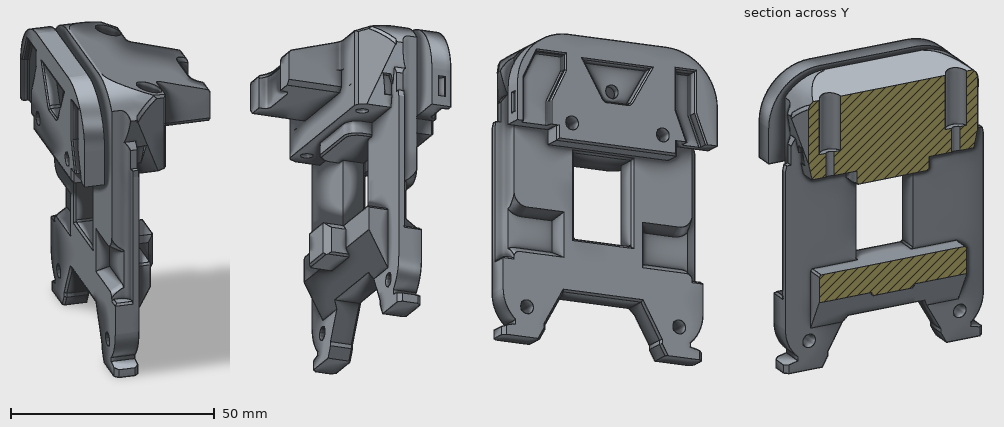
import cadquery as cq
import math

WIDTH = 55.0
HEIGHT = 76.0
HALF = WIDTH / 2
TOP_RADIUS = 14.0
SHOULDER_Z = HEIGHT - TOP_RADIUS
TOP_FLAT = HALF - TOP_RADIUS
SCREW_HOLE_D = 3.5
BIG = 45.6

PLATE_T = 6.1
LOWER_ARC_Z = 11.7
NECK_X, NECK_TOP_Z, NECK_BOTTOM_Z = 24.0, 4.0, 3.0
FOOT_Z = 2.1
FOOT_CHAMFER = 1.0
FOOT_INNER_X = 17.25
KNEE_X, KNEE_TOP_Z, KNEE_BOTTOM_Z = 15.75, 3.8, 2.7
NOTCH_X, NOTCH_Z = 10.65, 12.85
EDGE_BREAK = 0.5
LEG_HOLE_X, LEG_HOLE_Z = 20.9, 7.7
WINDOW_X, WINDOW_BOTTOM, WINDOW_TOP = 7.9, 26.6, 48.6
WINDOW_CORNER = 0.45

CHANNEL_X, CHANNEL_DEPTH, CHANNEL_BOTTOM = 24.5, 4.55, 19.9
CHANNEL_WALL = 2.05
LIP_TOP_Z = 53.6
LIP_LEDGE_X, LIP_LEDGE_Z = 27.15, 55.2
LIP_WALL_X, LIP_WALL_Z = 25.9, 60.2
TAPER_TOP_X, TAPER_TOP_Z = 26.1, 68.2
TAPER_LOW_X = 24.7

RECESS_X, RECESS_LOW, RECESS_HIGH = 10.8, 21.5, 33.1
RECESS_DEPTH, RECESS_INSET = 3.05, 1.75
RECESS_HIGH_RADIUS, RECESS_LOW_RADIUS = 3.6, 1.5

HEAD_BACK = 28.9
HEAD_HALF = 12.2
HEAD_BOTTOM = 58.6
HEAD_BOTTOM_CHAMFER = 1.15
HEAD_BACK_RADIUS = 1.15
ROOF_START = 0.7
ROOF_DROP = 8.75
SHOULDER_BOTTOM = 52.15
SHOULDER_BACK = 14.9
SHOULDER_X = 20.5
SHOULDER_BEVEL = 0.6
CORNER_X, CORNER_Y = 21.5, 14.3
FLANK_X, FLANK_Y = 25.9, 6.3
WEB_RADIUS, WEB_BOTTOM = 1.15, 64.0
BACK_NOTCH_X, BACK_NOTCH_DEPTH, BACK_NOTCH_RADIUS = 6.7, 2.5, 1.7
BACK_NOTCH_CHAMFER, RIM_DEPTH = 0.8, 0.9
SCREW_X, SCREW_Y = 17.5, 11.6
SCREW_D, COUNTERBORE_D = 3.1, 6.2
SCOOP_TOP_Y, SCOOP_LOW_Y, SCOOP_X = 8.9, 7.9, 22.95
SCOOP_EDGE_Y, SCOOP_EDGE_Z = 6.85, 58.1

BOSS_X, BOSS_BACK, BOSS_RADIUS, BOSS_CHAMFER = 10.65, 12.25, 3.65, 0.45

BRACKET_X, BRACKET_BACK = 20.5, 11.1
BRACKET_KNEE, BRACKET_BOTTOM = 20.2, 10.95
BRACKET_TOP = WINDOW_BOTTOM
BLOCK_X, BLOCK_BACK = 5.9, 16.5
BLOCK_BOTTOM = 18.25
BLOCK_CHAMFER, BLOCK_TOP_CHAMFER, BLOCK_LOW_CHAMFER = 1.5, 1.45, 0.5

COVER_FRONT, COVER_BACK = -7.8, -2.7
COVER_T = COVER_BACK - COVER_FRONT
WING_Z, TAB_Z, TAB_X = 52.6, 48.8, 16.5
COVER_HOLE_X, COVER_HOLE_Z, COVER_TOP_HOLE_Z = 12.5, 53.6, 63.8
TOP_HOLE_D = 3.4
TRAP_TOP_X, TRAP_TOP_Z = 9.9, 70.55
TRAP_CORNER_X, TRAP_CORNER_Z = 4.1, 60.6
TRAP_LOW_X, TRAP_LOW_Z = 3.3, 59.9
TRAP_DEPTH = 3.05
LEFT_POCKET_DEPTH, RIGHT_POCKET_DEPTH = 1.7, 3.1
POCKET_BEVEL = 0.4
POCKET_TOP_Z = 71.25
OVERRUN = 2.3
POCKET_OVERRUN_Z = WING_Z - OVERRUN
LEFT_OUTER_X, LEFT_OUTER_BEND_Z = -26.0, 63.7
LEFT_TOP_X, LEFT_INNER_X, LEFT_BEND_Z = -22.3, -14.0, 66.8
LEFT_LOW_X, LEFT_LOW_BEND_Z = -18.0, 58.6
RIGHT_INNER_X, RIGHT_POCKET_W, RIGHT_BEND_Z = 15.8, 5.9, 60.4
RIGHT_LEAN = 0.39
SLOT_FRONT, SLOT_W, SLOT_LOW, SLOT_HIGH, SLOT_END_X = 1.45, 1.8, 55.1, 60.3, 25.0


def front_plane(y):
    """Sketch plane facing -Y at depth y, with local x along X and local y along Z."""
    return cq.Workplane(cq.Plane(origin=(0, y, 0), xDir=(1, 0, 0), normal=(0, -1, 0)))


def prism_y(points, y0, y1):
    """Straight prism from an X-Z polygon between two depths."""
    return front_plane(y0).polyline(points).close().extrude(y0 - y1)


def box(x0, x1, y0, y1, z0, z1):
    return cq.Workplane("XY").box(x1 - x0, y1 - y0, z1 - z0, centered=False).translate((x0, y0, z0))


def hole_y(x, z, diameter, y0, y1):
    return front_plane(y0).center(x, z).circle(diameter / 2).extrude(y0 - y1)


def both_sides(shape):
    """The shape (drawn on +X) together with its mirror image."""
    return shape.union(shape.mirror("YZ"))


def rounded_top(sketch):
    """Continue a sketch from the right corner start over the rounded top to the left one."""
    reach = TOP_RADIUS * math.sqrt(0.5)
    return (
        sketch.threePointArc((TOP_FLAT + reach, SHOULDER_Z + reach), (TOP_FLAT, HEIGHT))
        .lineTo(-TOP_FLAT, HEIGHT)
        .threePointArc((-TOP_FLAT - reach, SHOULDER_Z + reach), (-HALF, SHOULDER_Z))
    )


def plate():
    run, rise = HALF - NECK_X, LOWER_ARC_Z - NECK_TOP_Z
    radius = (run**2 + rise**2) / (2 * run)
    half_sweep = math.asin(rise / radius) / 2
    mid_x = HALF - radius * (1 - math.cos(half_sweep))
    mid_z = LOWER_ARC_Z - radius * math.sin(half_sweep)
    right_leg = [
        (KNEE_X, KNEE_TOP_Z), (KNEE_X, KNEE_BOTTOM_Z), (FOOT_INNER_X, 0),
        (HALF, 0), (HALF, FOOT_Z), (NECK_X, NECK_BOTTOM_Z), (NECK_X, NECK_TOP_Z),
    ]
    sketch = front_plane(0).moveTo(-NOTCH_X, NOTCH_Z).lineTo(NOTCH_X, NOTCH_Z)
    for point in right_leg:
        sketch = sketch.lineTo(*point)
    sketch = sketch.threePointArc((mid_x, mid_z), (HALF, LOWER_ARC_Z)).lineTo(HALF, SHOULDER_Z)
    sketch = rounded_top(sketch).lineTo(-HALF, LOWER_ARC_Z)
    sketch = sketch.threePointArc((-mid_x, mid_z), (-NECK_X, NECK_TOP_Z))
    for x, z in reversed(right_leg[:-1]):
        sketch = sketch.lineTo(-x, z)
    body = sketch.close().extrude(-PLATE_T)
    foot_ends = cq.selectors.BoxSelector((-BIG, -0.75, -0.75), (BIG, PLATE_T + 0.75, FOOT_Z + 0.1))
    return body.edges("|Z").edges(foot_ends).chamfer(FOOT_CHAMFER)


def leg_opening():
    """Space between the legs, used to trim the bracket and to bevel the front edge."""
    return [
        (NOTCH_X, NOTCH_Z), (KNEE_X, KNEE_TOP_Z), (KNEE_X, KNEE_BOTTOM_Z), (FOOT_INNER_X, 0),
        (FOOT_INNER_X, -FOOT_Z), (-FOOT_INNER_X, -FOOT_Z), (-FOOT_INNER_X, 0),
        (-KNEE_X, KNEE_BOTTOM_Z), (-KNEE_X, KNEE_TOP_Z), (-NOTCH_X, NOTCH_Z),
    ]


def leg_bevel():
    outline = front_plane(0).polyline(leg_opening()).close().offset2D(EDGE_BREAK, "intersection")
    return tapered_cut(outline, EDGE_BREAK, EDGE_BREAK)


def tapered_cut(sketch, depth, inset):
    """Cutter that narrows by inset while going depth into +Y."""
    return sketch.extrude(-depth, taper=math.degrees(math.atan2(inset, depth)))


def window():
    opening = box(-WINDOW_X, WINDOW_X, -0.75, PLATE_T, WINDOW_BOTTOM, WINDOW_TOP)
    opening = opening.edges("|Y and <Z").chamfer(WINDOW_CORNER)
    outer_x = WINDOW_X + EDGE_BREAK
    outline = front_plane(0).moveTo(-outer_x, WINDOW_BOTTOM - EDGE_BREAK)
    outline = outline.lineTo(outer_x, WINDOW_BOTTOM - EDGE_BREAK).lineTo(outer_x, WINDOW_TOP + EDGE_BREAK)
    outline = outline.lineTo(-outer_x, WINDOW_TOP + EDGE_BREAK).close()
    return opening.union(tapered_cut(outline, EDGE_BREAK, EDGE_BREAK))


def side_channel():
    """Groove along the plate's flank with a rounded inner corner and a bevelled lower end."""
    channel = (
        cq.Workplane("XY", origin=(0, 0, CHANNEL_BOTTOM))
        .moveTo(CHANNEL_X, -0.75)
        .lineTo(CHANNEL_X, CHANNEL_WALL)
        .tangentArcPoint((HALF, CHANNEL_DEPTH), relative=False)
        .lineTo(BIG, CHANNEL_DEPTH)
        .lineTo(BIG, -0.75)
        .close()
        .extrude(HEIGHT - CHANNEL_BOTTOM)
    )
    front_bevel = (
        cq.Workplane("YZ", origin=(CHANNEL_X, 0, 0))
        .polyline([(0, CHANNEL_BOTTOM), (0, CHANNEL_BOTTOM - EDGE_BREAK), (EDGE_BREAK, CHANNEL_BOTTOM)])
        .close()
        .extrude(BIG - CHANNEL_X)
    )
    side_bevel = prism_y(
        [
            (HALF - EDGE_BREAK, CHANNEL_BOTTOM), (HALF, CHANNEL_BOTTOM - EDGE_BREAK),
            (BIG, CHANNEL_BOTTOM - EDGE_BREAK), (BIG, CHANNEL_BOTTOM),
        ],
        -0.75, CHANNEL_DEPTH,
    )
    return channel.union(front_bevel).union(side_bevel)


def flank_relief():
    """Material missing from the plate's flank above the channel lip."""
    points = [
        (TAPER_TOP_X, TAPER_TOP_Z), (TAPER_LOW_X, SHOULDER_Z), (LIP_WALL_X, LIP_WALL_Z),
        (LIP_WALL_X, LIP_LEDGE_Z), (LIP_LEDGE_X, LIP_LEDGE_Z), (HALF, LIP_TOP_Z),
        (BIG, LIP_TOP_Z), (BIG, TAPER_TOP_Z),
    ]
    return prism_y(points, -0.75, PLATE_T)


def front_recess():
    bend = math.sqrt(0.5)
    high, low = RECESS_HIGH_RADIUS, RECESS_LOW_RADIUS
    outline = (
        front_plane(0)
        .moveTo(RECESS_X, RECESS_LOW)
        .lineTo(CHANNEL_X - low, RECESS_LOW)
        .threePointArc(
            (CHANNEL_X - low + low * bend, RECESS_LOW - low + low * bend),
            (CHANNEL_X, RECESS_LOW - low),
        )
        .lineTo(BIG, RECESS_LOW - low)
        .lineTo(BIG, RECESS_HIGH + high)
        .lineTo(CHANNEL_X, RECESS_HIGH + high)
        .threePointArc(
            (CHANNEL_X - high + high * bend, RECESS_HIGH + high - high * bend),
            (CHANNEL_X - high, RECESS_HIGH),
        )
        .lineTo(RECESS_X, RECESS_HIGH)
        .close()
    )
    return tapered_cut(outline, RECESS_DEPTH, RECESS_INSET)


def head():
    slope = (TAPER_TOP_X - TAPER_LOW_X) / (TAPER_TOP_Z - SHOULDER_Z)
    low_x = TAPER_LOW_X - slope * (SHOULDER_Z - SHOULDER_BOTTOM)
    front = rounded_top(front_plane(0).moveTo(HALF, SHOULDER_BOTTOM).lineTo(HALF, SHOULDER_Z))
    front = front.lineTo(-HALF, SHOULDER_BOTTOM).close().extrude(-HEAD_BACK)
    lean = prism_y(
        [(low_x, SHOULDER_BOTTOM), (TAPER_TOP_X, TAPER_TOP_Z), (BIG, TAPER_TOP_Z), (BIG, SHOULDER_BOTTOM)],
        -0.75, HEAD_BACK,
    )
    plan_right = [
        (FLANK_X, PLATE_T), (FLANK_X, FLANK_Y), (CORNER_X, CORNER_Y), (SHOULDER_X, SHOULDER_BACK),
    ]
    plan_left = [(-x, y) for x, y in reversed(plan_right)]
    shoulders = cq.Workplane("XY").polyline(plan_right + plan_left).close().extrude(HEIGHT)
    back = box(-HEAD_HALF, HEAD_HALF, PLATE_T, HEAD_BACK, HEAD_BOTTOM, HEIGHT)
    back = back.edges("|Y and <Z").chamfer(HEAD_BOTTOM_CHAMFER)
    web_x, web_y = HEAD_HALF + WEB_RADIUS, SHOULDER_BACK + WEB_RADIUS
    web = box(HEAD_HALF, web_x, SHOULDER_BACK, web_y, WEB_BOTTOM, HEIGHT)
    web = web.cut(
        cq.Workplane("XY", origin=(web_x, web_y, 0))
        .circle(WEB_RADIUS)
        .extrude(HEIGHT)
    )
    solid = shoulders.union(back).union(both_sides(web))
    solid = solid.intersect(front).cut(both_sides(lean))
    solid = solid.cut(roof_cutter())
    solid = bevel_shoulder_tops(solid)
    solid = solid.edges("|X").edges(">Y").edges(">Z").fillet(HEAD_BACK_RADIUS)
    return solid.cut(back_notch())


def bevel_shoulder_tops(solid):
    """Bevel the slanted shoulder sides where they meet the rounded corner and the roof."""
    region = cq.selectors.BoxSelector((-BIG, FLANK_Y - 0.75, TAPER_TOP_Z), (BIG, SHOULDER_BACK, HEIGHT))
    run_x, run_y = FLANK_X - CORNER_X, CORNER_Y - FLANK_Y
    for side in (1, -1):
        slant = solid.faces(cq.selectors.ParallelDirSelector(cq.Vector(side * run_y, run_x, 0), 0.01))
        solid = slant.edges(region).chamfer(SHOULDER_BEVEL)
    return solid


def roof_height(y):
    return HEIGHT - ROOF_DROP * (y - ROOF_START) / (HEAD_BACK - ROOF_START)


def roof_cutter():
    points = [(ROOF_START, HEIGHT), (BIG, roof_height(BIG)), (BIG, HEIGHT)]
    return cq.Workplane("YZ", origin=(-BIG, 0, 0)).polyline(points).close().extrude(2 * BIG)


def back_notch():
    """Notch in the rear edge of the head, bevelled along the roof."""
    floor_y = HEAD_BACK - BACK_NOTCH_DEPTH
    notch = box(-BACK_NOTCH_X, BACK_NOTCH_X, floor_y, BIG, HEAD_BOTTOM - 0.75, HEIGHT)
    notch = notch.edges("|Z and <Y").fillet(BACK_NOTCH_RADIUS)
    roof_angle = math.degrees(math.atan2(ROOF_DROP, HEAD_BACK - ROOF_START))
    reach = BACK_NOTCH_DEPTH + 2 * BACK_NOTCH_CHAMFER
    rim_x, rim_y = BACK_NOTCH_X + BACK_NOTCH_CHAMFER, -BACK_NOTCH_CHAMFER
    rim = box(-rim_x, rim_x, rim_y, reach, -RIM_DEPTH, 0)
    rim = rim.edges("|Z and <Y").fillet(BACK_NOTCH_RADIUS + BACK_NOTCH_CHAMFER)
    rim = rim.faces("<Z").edges().chamfer(BACK_NOTCH_CHAMFER)
    rim = rim.rotate((0, 0, 0), (1, 0, 0), -roof_angle).translate((0, floor_y, roof_height(floor_y)))
    return notch.union(rim)


def head_screw():
    shaft = cq.Workplane("XY", origin=(SCREW_X, SCREW_Y, SHOULDER_BOTTOM - 0.75))
    shaft = shaft.circle(SCREW_D / 2).extrude(HEIGHT - SHOULDER_BOTTOM)
    bore = cq.Workplane("XY", origin=(SCREW_X, SCREW_Y, HEAD_BOTTOM))
    return shaft.union(bore.circle(COUNTERBORE_D / 2).extrude(HEIGHT - HEAD_BOTTOM))


def side_scoop():
    points = [
        (PLATE_T, LIP_LEDGE_Z), (SCOOP_LOW_Y, LIP_LEDGE_Z), (SCOOP_TOP_Y, LIP_WALL_Z),
        (SCOOP_EDGE_Y, LIP_WALL_Z), (PLATE_T, SCOOP_EDGE_Z),
    ]
    return cq.Workplane("YZ", origin=(SCOOP_X, 0, 0)).polyline(points).close().extrude(BIG - SCOOP_X)


def boss():
    block = box(-BOSS_X, BOSS_X, 0, BOSS_BACK, WINDOW_TOP, SHOULDER_BOTTOM)
    block = block.edges("|Z and >Y").fillet(BOSS_RADIUS).faces("<Z").chamfer(BOSS_CHAMFER)
    return block.intersect(box(-BOSS_X, BOSS_X, PLATE_T, BOSS_BACK, WINDOW_TOP, SHOULDER_BOTTOM))


def bracket():
    profile = [
        (PLATE_T, BRACKET_BOTTOM), (BRACKET_BACK, BRACKET_KNEE),
        (BRACKET_BACK, BRACKET_TOP), (PLATE_T, BRACKET_TOP),
    ]
    gusset = cq.Workplane("YZ", origin=(-BRACKET_X, 0, 0)).polyline(profile).close().extrude(2 * BRACKET_X)
    gusset = gusset.edges("|Y and >Z").chamfer(EDGE_BREAK)
    gusset = gusset.cut(prism_y(leg_opening(), -0.75, BIG))
    block = box(-BLOCK_X, BLOCK_X, PLATE_T, BLOCK_BACK, BLOCK_BOTTOM, BRACKET_TOP)
    block = block.edges("|Z and >Y").chamfer(BLOCK_CHAMFER)
    block = block.edges("|Y and >Z").chamfer(BLOCK_TOP_CHAMFER)
    block = block.faces("<Z").edges(">Y or <X or >X").chamfer(BLOCK_LOW_CHAMFER)
    return gusset.union(block)


def make_housing():
    body = plate().cut(both_sides(flank_relief()))
    body = body.cut(roof_cutter()).union(head()).union(boss()).union(bracket())
    body = body.cut(both_sides(side_channel())).cut(both_sides(front_recess()))
    body = body.cut(window()).cut(leg_bevel())
    body = body.cut(both_sides(hole_y(LEG_HOLE_X, LEG_HOLE_Z, SCREW_HOLE_D, -0.75, BIG)))
    return body.cut(both_sides(head_screw())).cut(both_sides(side_scoop()))


def cover_blank():
    right = [(TAB_X, TAB_Z), (TAB_X, WING_Z), (HALF, WING_Z), (HALF, SHOULDER_Z)]
    sketch = front_plane(COVER_FRONT).moveTo(-TAB_X, TAB_Z)
    for point in right:
        sketch = sketch.lineTo(*point)
    sketch = rounded_top(sketch).lineTo(-HALF, WING_Z).lineTo(-TAB_X, WING_Z).close()
    blank = sketch.extrude(-COVER_T)
    tab = cq.selectors.BoxSelector(
        (-TAB_X - 0.1, COVER_FRONT - 0.75, TAB_Z - 0.75), (TAB_X + 0.1, COVER_FRONT + 0.1, WING_Z - 0.1)
    )
    return blank.edges(tab).chamfer(EDGE_BREAK)


def bevelled_pocket(points, depth):
    """Pocket with straight walls and a bevelled rim."""
    rim = front_plane(COVER_FRONT).polyline(points).close()
    rim = tapered_cut(rim, POCKET_BEVEL, POCKET_BEVEL)
    wall = front_plane(COVER_FRONT).polyline(points).close().offset2D(-POCKET_BEVEL, "intersection")
    return rim.union(wall.extrude(-depth))


def double_bevelled_pocket(points, depth):
    """Pocket with bevels around its rim and its floor."""
    wall = bevelled_pocket(points, depth - POCKET_BEVEL)
    floor = front_plane(COVER_FRONT + depth - POCKET_BEVEL).polyline(points).close()
    floor = floor.offset2D(-POCKET_BEVEL, "intersection")
    return wall.union(tapered_cut(floor, POCKET_BEVEL, POCKET_BEVEL))


def left_pocket():
    """Pocket open at the wing edge, stepping outward on its way down."""
    return double_bevelled_pocket([
        (LEFT_OUTER_X, POCKET_OVERRUN_Z), (LEFT_OUTER_X, LEFT_OUTER_BEND_Z),
        (LEFT_TOP_X, POCKET_TOP_Z), (LEFT_INNER_X, POCKET_TOP_Z),
        (LEFT_INNER_X, LEFT_BEND_Z), (LEFT_LOW_X, LEFT_LOW_BEND_Z), (LEFT_LOW_X, POCKET_OVERRUN_Z),
    ], LEFT_POCKET_DEPTH)


def right_pocket():
    """Parallel-sided pocket that leans outward below its bend."""
    outer_x = RIGHT_INNER_X + RIGHT_POCKET_W
    shift = RIGHT_LEAN * (RIGHT_BEND_Z - POCKET_OVERRUN_Z)
    return double_bevelled_pocket([
        (RIGHT_INNER_X, POCKET_TOP_Z), (outer_x, POCKET_TOP_Z), (outer_x, RIGHT_BEND_Z),
        (outer_x + shift, POCKET_OVERRUN_Z), (RIGHT_INNER_X + shift, POCKET_OVERRUN_Z),
        (RIGHT_INNER_X, RIGHT_BEND_Z),
    ], RIGHT_POCKET_DEPTH)


def trapezoid_pocket():
    right = [(TRAP_LOW_X, TRAP_LOW_Z), (TRAP_CORNER_X, TRAP_CORNER_Z), (TRAP_TOP_X, TRAP_TOP_Z)]
    left = [(-x, z) for x, z in reversed(right)]
    return bevelled_pocket(right + left, TRAP_DEPTH)


def side_slot():
    """Blind slot in the left edge with a floor sloping at 45 degrees."""
    front_y = COVER_FRONT + SLOT_FRONT
    back_y = front_y + SLOT_W
    plan = [(-BIG, front_y), (-SLOT_END_X - SLOT_W, front_y), (-SLOT_END_X, back_y), (-BIG, back_y)]
    return cq.Workplane("XY", origin=(0, 0, SLOT_LOW)).polyline(plan).close().extrude(SLOT_HIGH - SLOT_LOW)


def make_cover():
    body = cover_blank()
    for pocket in (left_pocket(), right_pocket(), trapezoid_pocket()):
        body = body.cut(pocket)
    body = body.cut(both_sides(hole_y(COVER_HOLE_X, COVER_HOLE_Z, SCREW_HOLE_D, COVER_FRONT, COVER_BACK)))
    body = body.cut(hole_y(0, COVER_TOP_HOLE_Z, TOP_HOLE_D, COVER_FRONT, COVER_BACK))
    return body.cut(side_slot())


housing = make_housing()
cover = make_cover()
result = cq.Compound.makeCompound([housing.val(), cover.val()])